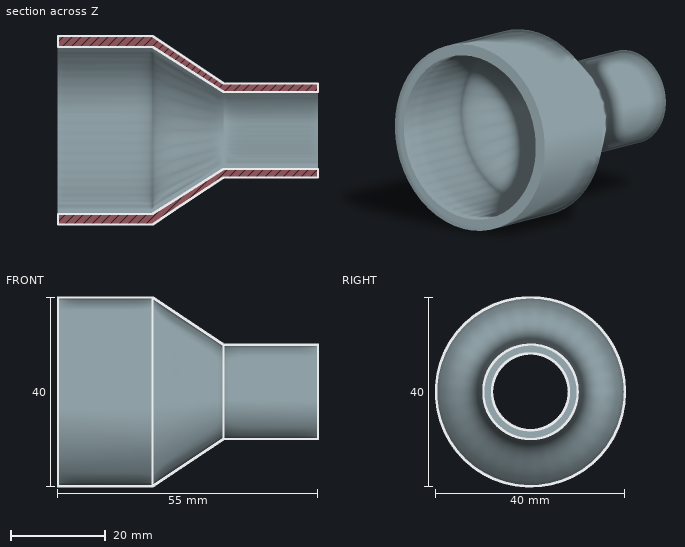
import cadquery as cq

wide_outer_diameter = 40.0
wide_bore_diameter = 35.2
narrow_outer_diameter = 20.0
narrow_bore_diameter = 16.2

wide_length = 20.0
cone_length = 15.0
narrow_length = 20.0

cone_start = wide_length
cone_end = cone_start + cone_length
total_length = cone_end + narrow_length


def stepped_cone(wide_diameter, narrow_diameter):
    """Solid of revolution: wide cylinder, cone, then narrow cylinder."""
    wide_radius = wide_diameter / 2
    narrow_radius = narrow_diameter / 2
    half_profile = (
        cq.Workplane("XY")
        .moveTo(0, 0)
        .lineTo(0, wide_radius)
        .lineTo(cone_start, wide_radius)
        .lineTo(cone_end, narrow_radius)
        .lineTo(total_length, narrow_radius)
        .lineTo(total_length, 0)
        .close()
    )
    return half_profile.revolve(360, (0, 0, 0), (1, 0, 0))


outer_body = stepped_cone(wide_outer_diameter, narrow_outer_diameter)
bore = stepped_cone(wide_bore_diameter, narrow_bore_diameter)

result = outer_body.cut(bore)